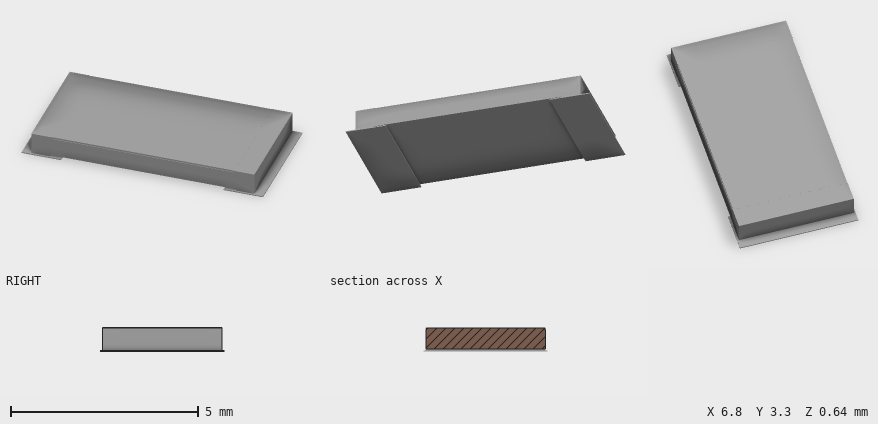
import cadquery as cq

overall_length = 6.8
pad_width = 3.3
overall_height = 0.64

pad_length = 1.11
pad_thickness = 0.03

chip_length = 6.28
chip_width = 3.2
underside_gap_length = 5.25
underside_gap_height = 0.04

coating_length = 5.135
coating_width = 3.175
coating_thickness = 0.05
coating_rise = 0.0015

chip_top = overall_height - coating_rise
shoulder_depth = coating_thickness - coating_rise


def block(length, width, height, bottom):
    """Block centred on the Z axis, standing on the given height."""
    plane = cq.Workplane("XY").workplane(offset=bottom)
    return plane.box(length, width, height, centered=(True, True, False))


def make_chip():
    """Chip with a stepped coating on top and a shallow gap underneath."""
    chip = block(chip_length, chip_width, chip_top - pad_thickness, pad_thickness)
    underside_gap = block(underside_gap_length, chip_width, underside_gap_height, pad_thickness)
    coating_seat = block(coating_length, chip_width, shoulder_depth, chip_top - shoulder_depth)
    coating = block(coating_length, coating_width, coating_thickness, overall_height - coating_thickness)
    return chip.cut(underside_gap).cut(coating_seat).union(coating)


def make_pad(side):
    """Flat pad under one end of the chip; side is -1 or +1 along X."""
    pad_center = side * (overall_length - pad_length) / 2
    return block(pad_length, pad_width, pad_thickness, 0).translate((pad_center, 0, 0))


chip = make_chip()
pads = [make_pad(side) for side in (-1, 1)]

result = cq.Compound.makeCompound([chip.val(), *[pad.val() for pad in pads]])